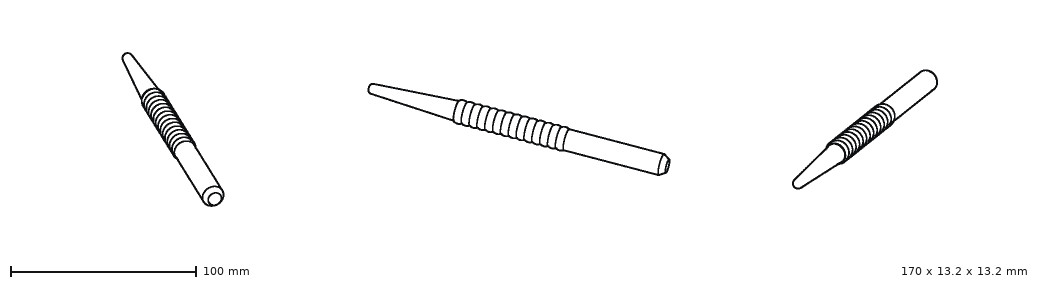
import cadquery as cq
import math

length = 170.0
shank_radius = 6.0
crest_radius = 6.6
ridge_count = 14
grip_start = 50.0
grip_end = 112.5
taper_small_radius = 2.7
taper_large_radius = 5.6
tip_round = 2.0
head_bevel_length = 3.4
head_face_radius = 3.7

ridge_pitch = (grip_end - grip_start) / ridge_count
x_start = -length / 2


def turning_profile():
    """Half outline of the punch from the tip to the struck head."""
    taper_angle = math.atan2(taper_large_radius - taper_small_radius, grip_start)
    turn = math.pi / 2 - taper_angle
    setback = tip_round * math.tan(turn / 2)
    flat_radius = taper_small_radius - setback
    arc_middle = (
        tip_round * (1 - math.cos(turn / 2)),
        flat_radius + tip_round * math.sin(turn / 2),
    )
    arc_end = (
        setback * math.cos(taper_angle),
        taper_small_radius + setback * math.sin(taper_angle),
    )
    outline = (
        cq.Workplane("XZ")
        .lineTo(0, flat_radius)
        .threePointArc(arc_middle, arc_end)
        .lineTo(grip_start, taper_large_radius)
        .lineTo(grip_start, shank_radius)
    )

    for ridge in range(ridge_count):
        ridge_start = grip_start + ridge * ridge_pitch
        crest = (ridge_start + ridge_pitch / 2, crest_radius)
        valley = (ridge_start + ridge_pitch, shank_radius)
        outline = outline.threePointArc(crest, valley)

    return (
        outline.lineTo(length - head_bevel_length, shank_radius)
        .lineTo(length, head_face_radius)
        .lineTo(length, 0)
        .close()
    )


punch = turning_profile().revolve(360, (0, 0, 0), (1, 0, 0))
result = punch.translate((x_start, 0, 0))